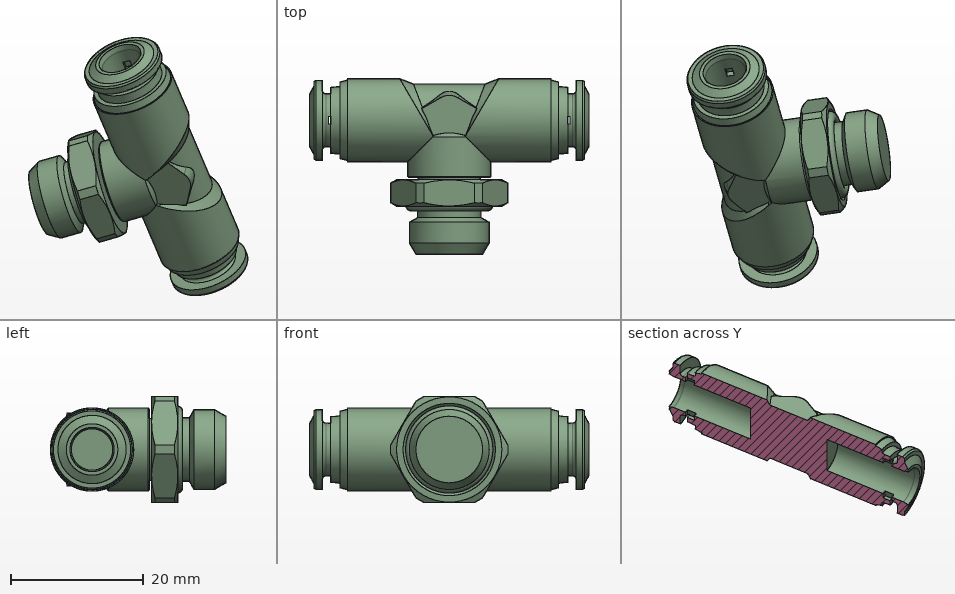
import cadquery as cq
import math


HALF_LENGTH = 21.1
BODY_RADIUS = 6.3
BODY_HALF = 15.35
SHOULDER_HALF = 16.5
SHOULDER_RADIUS = 5.8
SHOULDER_ROOT_RADIUS = 6.08
COLLAR_HALF = 17.9
COLLAR_RADIUS = 5.0
COLLAR_ROOT_RADIUS = 5.1
SLEEVE_RADIUS = 4.0
FLANGE_RADIUS = 6.05
FLANGE_BACK = 19.1
FLANGE_FRONT = 20.42
FLANGE_FACE_RADIUS = 5.15
FLANGE_CHAMFER = 0.3
FLANGE_RIM_RADIUS = 5.82
SLEEVE_FACE_RADIUS = 3.9
FLANGE_ROOT_RADIUS = 4.4
FLANGE_ROOT_LENGTH = 0.5

MOUTH_RADIUS = 3.35
SOCKET_RADIUS = 3.12
MOUTH_DEPTH = 0.85
SOCKET_DEPTH = 14.35
SLOT_WIDTH = 1.1
SLOT_LENGTH = 1.5
SLOT_FRONT = 18.2

WAIST_RADIUS = 5.5
WAIST_FRONT = -2.5
WAIST_FRONT_HALF = 2.35
WAIST_OUTER_HALF = 7.45
WAIST_INNER_HALF = 5.4
RAMP_FRONT = -1.9
BRANCH_RAMP_LENGTH = 0.6

PAD_HEIGHT = 5.5
PAD_TIP = 3.75
PAD_SHOULDER_Y = 1.77
PAD_SHOULDER_HALF = 4.15
PAD_TIP_HALF = 1.35
PAD_TIP_SIDE_Y = 3.38
PAD_DRAFT = 16.0

BRANCH_END = 8.65
BRANCH_CHAMFER = 0.2
NECK_RADIUS = 4.7
HEX_START = 8.95
HEX_THICKNESS = 4.0
HEX_END = HEX_START + HEX_THICKNESS
HEX_FLATS = 16.0
HEX_CORNERS = 17.7
HEX_FACE_RADIUS = 7.95
HEX_CHAMFER_ANGLE = 30.0
CORNER_TURN = 30.0
POINTS_PER_FLATS = 2 / math.sqrt(3)

STUD_NECK_RADIUS = 4.8
STUD_NECK_END = 14.7
THREAD_RADIUS = 6.05
THREAD_START = 15.35
THREAD_END = 18.5
TIP_RADIUS = 5.02
TIP_END = 20.2

RING_SECTION_RADIUS = 0.9
RING_RADIUS = STUD_NECK_RADIUS + RING_SECTION_RADIUS
RING_Y = 12.8
RECESS_MOUTH_RADIUS = 6.95
RECESS_FLOOR = RING_Y - RING_SECTION_RADIUS


def revolve_about_x(points):
    """Revolve an (x, radius) outline about the X axis."""
    return cq.Workplane("XY").polyline(points).close().revolve(360, (0, 0, 0), (1, 0, 0))


def revolve_about_branch(points):
    """Revolve a (radius, distance from the run axis) outline about the branch axis."""
    outline = [(radius, -distance) for radius, distance in points]
    return cq.Workplane("XY").polyline(outline).close().revolve(360, (0, 0, 0), (0, 1, 0))


def both_ends(end):
    """An end feature together with its mirror image across the YZ plane."""
    return end.union(end.mirror("YZ"))


def run_end():
    """One end of the run: body, stepped collar and release sleeve with its flange."""
    outline = (
        cq.Workplane("XY")
        .lineTo(0, BODY_RADIUS)
        .lineTo(BODY_HALF, BODY_RADIUS)
        .lineTo(BODY_HALF, SHOULDER_ROOT_RADIUS)
        .lineTo(SHOULDER_HALF, SHOULDER_RADIUS)
        .lineTo(SHOULDER_HALF, COLLAR_ROOT_RADIUS)
        .lineTo(COLLAR_HALF, COLLAR_RADIUS)
        .lineTo(COLLAR_HALF, SLEEVE_RADIUS)
        .lineTo(FLANGE_BACK - FLANGE_ROOT_LENGTH, SLEEVE_RADIUS)
        .tangentArcPoint((FLANGE_BACK, FLANGE_ROOT_RADIUS), relative=False)
        .lineTo(FLANGE_BACK, FLANGE_RADIUS)
        .lineTo(FLANGE_FRONT - FLANGE_CHAMFER, FLANGE_RADIUS)
        .lineTo(FLANGE_FRONT, FLANGE_RIM_RADIUS)
        .lineTo(FLANGE_FRONT, FLANGE_FACE_RADIUS)
        .lineTo(HALF_LENGTH, SLEEVE_FACE_RADIUS)
        .lineTo(HALF_LENGTH, 0)
        .close()
    )
    return outline.revolve(360, (0, 0, 0), (1, 0, 0))


def socket():
    """Blind tube socket with a tapered mouth."""
    floor = HALF_LENGTH - SOCKET_DEPTH
    return revolve_about_x([
        (floor, 0),
        (floor, SOCKET_RADIUS),
        (HALF_LENGTH - MOUTH_DEPTH, SOCKET_RADIUS),
        (HALF_LENGTH, MOUTH_RADIUS),
        (HALF_LENGTH, 0),
    ])


def sleeve_slot():
    """Slot through the top and bottom walls of the sleeve, running in under the collar."""
    slot = cq.Workplane("XY").box(SLOT_LENGTH, SLOT_WIDTH, 2 * SLEEVE_RADIUS)
    return slot.translate((SLOT_FRONT - SLOT_LENGTH / 2, 0, 0))


def waist_slope(radius, back_half):
    """Change of x per y of the oblique waist side that reaches back_half at y = radius."""
    return (back_half - WAIST_FRONT_HALF) / (radius - WAIST_FRONT)


def ramp_section(radius, back_half):
    """Upright oblique section of a cylinder about X, flat in front and elliptical behind."""
    slope = waist_slope(radius, back_half)
    plane = cq.Plane(
        origin=(WAIST_FRONT_HALF - slope * WAIST_FRONT, 0, 0),
        xDir=(slope, 1, 0),
        normal=(1, -slope, 0),
    )
    end_angle = math.degrees(math.acos(RAMP_FRONT / radius))
    section = cq.Workplane(plane).ellipseArc(
        radius * math.hypot(1, slope), radius, -end_angle, end_angle, startAtCurrent=False
    )
    return section.close().val()


def waist_ramp():
    """Sloping step from an end of the run down to the waist."""
    outer = ramp_section(BODY_RADIUS, WAIST_OUTER_HALF)
    inner = ramp_section(WAIST_RADIUS, WAIST_INNER_HALF)
    return cq.Workplane(cq.Solid.makeLoft([outer, inner], True))


def branch_ramp():
    """Conical step from the branch down to the waist."""
    return revolve_about_branch([
        (0, -WAIST_FRONT),
        (BODY_RADIUS, -WAIST_FRONT),
        (WAIST_RADIUS, -WAIST_FRONT - BRANCH_RAMP_LENGTH),
        (0, -WAIST_FRONT - BRANCH_RAMP_LENGTH),
    ])


def badge_pad():
    """Pentagonal pad with a rounded tip and drafted sides, on top of the waist."""
    outline = (
        cq.Workplane("XY", origin=(0, 0, PAD_HEIGHT))
        .moveTo(-WAIST_FRONT_HALF, WAIST_FRONT)
        .lineTo(WAIST_FRONT_HALF, WAIST_FRONT)
        .lineTo(PAD_SHOULDER_HALF, PAD_SHOULDER_Y)
        .lineTo(PAD_TIP_HALF, PAD_TIP_SIDE_Y)
        .threePointArc((0, PAD_TIP), (-PAD_TIP_HALF, PAD_TIP_SIDE_Y))
        .lineTo(-PAD_SHOULDER_HALF, PAD_SHOULDER_Y)
        .close()
    )
    return outline.extrude(-PAD_HEIGHT, taper=-PAD_DRAFT)


def waist_cut():
    """Material removed around the waist: a trapezoid less the core and its ramps."""
    back = 2 * BODY_RADIUS
    back_half = WAIST_FRONT_HALF + waist_slope(BODY_RADIUS, WAIST_OUTER_HALF) * (back - WAIST_FRONT)
    trapezoid = (
        cq.Workplane("XY")
        .moveTo(-WAIST_FRONT_HALF, WAIST_FRONT)
        .lineTo(WAIST_FRONT_HALF, WAIST_FRONT)
        .lineTo(back_half, back)
        .lineTo(-back_half, back)
        .close()
        .extrude(back, both=True)
    )
    core = cq.Workplane("YZ").circle(WAIST_RADIUS).extrude(BODY_HALF, both=True)
    kept = core.union(both_ends(waist_ramp())).union(branch_ramp())
    return trapezoid.cut(kept)


def branch():
    """Plain branch of the tee with a chamfered end and the neck below it."""
    return revolve_about_branch([
        (0, 0),
        (BODY_RADIUS, 0),
        (BODY_RADIUS, BRANCH_END - BRANCH_CHAMFER),
        (BODY_RADIUS - BRANCH_CHAMFER, BRANCH_END),
        (NECK_RADIUS, BRANCH_END),
        (NECK_RADIUS, HEX_START),
        (0, HEX_START),
    ])


def hexagon():
    """Hexagon with flattened corners and both faces chamfered."""
    plane = cq.Workplane("XZ", origin=(0, -HEX_START, 0))
    flats = plane.polygon(6, HEX_FLATS * POINTS_PER_FLATS).extrude(HEX_THICKNESS)
    corners = (
        plane.transformed(rotate=(0, 0, CORNER_TURN))
        .polygon(6, HEX_CORNERS * POINTS_PER_FLATS)
        .extrude(HEX_THICKNESS)
    )
    full_radius = HEX_CORNERS / 2 * POINTS_PER_FLATS
    drop = (full_radius - HEX_FACE_RADIUS) * math.tan(math.radians(HEX_CHAMFER_ANGLE))
    chamfers = revolve_about_branch([
        (0, HEX_START),
        (HEX_FACE_RADIUS, HEX_START),
        (full_radius, HEX_START + drop),
        (full_radius, HEX_END - drop),
        (HEX_FACE_RADIUS, HEX_END),
        (0, HEX_END),
    ])
    return flats.intersect(corners).intersect(chamfers)


def ring_recess():
    """Recess in the hexagon face around the stud, with a conical wall tangent to the O-ring."""
    reach = RECESS_MOUTH_RADIUS - RING_RADIUS
    depth = HEX_END - RING_Y
    wall_angle = math.atan2(depth, reach) + math.asin(RING_SECTION_RADIUS / math.hypot(reach, depth))
    floor_radius = RECESS_MOUTH_RADIUS - (HEX_END - RECESS_FLOOR) / math.tan(wall_angle)
    return revolve_about_branch([
        (STUD_NECK_RADIUS, RECESS_FLOOR),
        (floor_radius, RECESS_FLOOR),
        (RECESS_MOUTH_RADIUS, HEX_END),
        (STUD_NECK_RADIUS, HEX_END),
    ])


def stud():
    """Threaded stud with an undercut neck and a tapered tip."""
    return revolve_about_branch([
        (0, HEX_START),
        (STUD_NECK_RADIUS, HEX_START),
        (STUD_NECK_RADIUS, STUD_NECK_END),
        (THREAD_RADIUS, THREAD_START),
        (THREAD_RADIUS, THREAD_END),
        (TIP_RADIUS, TIP_END),
        (0, TIP_END),
    ])


def build_fitting():
    """Tee, hexagon and stud as one solid."""
    tee = both_ends(run_end()).union(branch()).cut(waist_cut())
    pad = badge_pad()
    tee = tee.union(pad).union(pad.mirror("XY"))
    tee = tee.cut(both_ends(socket())).cut(both_ends(sleeve_slot()))
    nut = hexagon().cut(ring_recess())
    return tee.union(nut).union(stud()).solids()


def build_ring():
    """O-ring seated on the stud neck and the recess floor."""
    section = cq.Workplane("XY", origin=(RING_RADIUS, -RING_Y, 0)).circle(RING_SECTION_RADIUS)
    return section.revolve(360, (-RING_RADIUS, 0, 0), (-RING_RADIUS, 1, 0))


fitting = build_fitting()
ring = build_ring()
result = cq.Compound.makeCompound([fitting.val(), ring.val()])